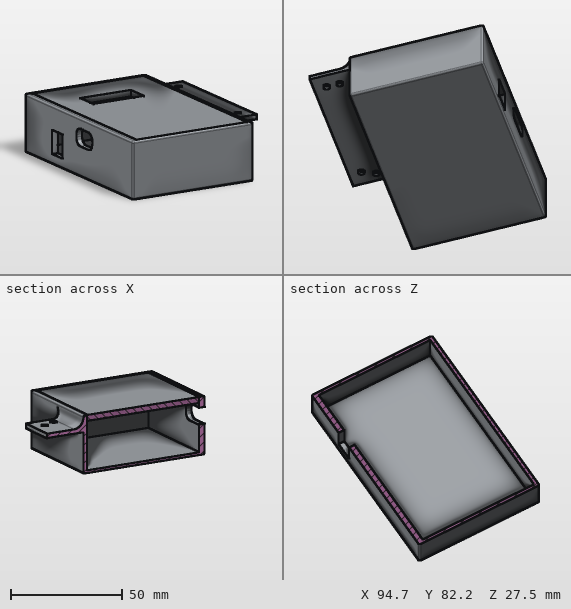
import cadquery as cq
import math

LENGTH = 94.7
DEPTH = 63.2
HEIGHT = 27.5
EDGE_ROUND = 0.9

SIDE_WALL = 1.9
FRONT_WALL = 3.0
BACK_WALL = 2.1
FLOOR = 1.5

LID_THICKNESS = 3.0
LID_WINDOW_WIDTH = 11.55
LID_WINDOW_DEPTH = 26.5
LID_WINDOW_LEFT = 19.5
LID_WINDOW_FRONT = 17.4

PORT_WIDTH = 9.1
PORT_HEIGHT = 11.3
PORT_LEFT = 24.0
PORT_BOTTOM = 4.8

SLOT_WIDTH = 14.0
SLOT_HEIGHT = 8.1
SLOT_LEFT = 45.2
SLOT_BOTTOM = 14.3
SLOT_CORNER_DIAMETER = 7.0

OVERALL_DEPTH = 82.2
FLANGE_LEFT = EDGE_ROUND
FLANGE_RIGHT = 66.2
FLANGE_THICKNESS = 2.3
FLANGE_FILLET = 4.8
FLANGE_TOP = HEIGHT - EDGE_ROUND - FLANGE_FILLET

HOLE_DIAMETER = 3.0
OUTER_ROW_INSET = 6.0
INNER_ROW_INSET = 12.1
LEFT_HOLE_X = 7.5
OUTER_RIGHT_HOLE_X = 59.5
INNER_RIGHT_HOLE_X = 62.2

CAVITY_LENGTH = LENGTH - 2 * SIDE_WALL
CAVITY_DEPTH = DEPTH - FRONT_WALL - BACK_WALL
LID_BOTTOM = HEIGHT - LID_THICKNESS
FLANGE_BOTTOM = FLANGE_TOP - FLANGE_THICKNESS
ARC_MIDPOINT = FLANGE_FILLET * (1 - math.sqrt(0.5))


def block(left, front, bottom, length, depth, height):
    """Box placed by its left, front, bottom corner."""
    return cq.Workplane("XY").box(length, depth, height, centered=False).translate((left, front, bottom))


def cavity_block(bottom):
    """Block with the cavity outline, from the given level up to the housing top."""
    return block(SIDE_WALL, FRONT_WALL, bottom, CAVITY_LENGTH, CAVITY_DEPTH, HEIGHT - bottom)


def flange_profile():
    """Plate with a concave fillet up to the back wall, swept along X past the corner fillet."""
    root = DEPTH - EDGE_ROUND
    return (
        cq.Workplane("YZ", origin=(FLANGE_LEFT, 0, 0))
        .moveTo(root, FLANGE_BOTTOM)
        .lineTo(OVERALL_DEPTH, FLANGE_BOTTOM)
        .lineTo(OVERALL_DEPTH, FLANGE_TOP)
        .lineTo(DEPTH + FLANGE_FILLET, FLANGE_TOP)
        .threePointArc(
            (DEPTH + ARC_MIDPOINT, FLANGE_TOP + ARC_MIDPOINT),
            (DEPTH, FLANGE_TOP + FLANGE_FILLET),
        )
        .lineTo(root, FLANGE_TOP + FLANGE_FILLET)
        .close()
        .extrude(FLANGE_RIGHT + FLANGE_FILLET - FLANGE_LEFT)
    )


def flange_outline():
    """Plan outline of the flange, with a concave fillet at its right root corner."""
    root = DEPTH - EDGE_ROUND
    return (
        cq.Workplane("XY")
        .moveTo(FLANGE_LEFT, root)
        .lineTo(FLANGE_LEFT, OVERALL_DEPTH)
        .lineTo(FLANGE_RIGHT, OVERALL_DEPTH)
        .lineTo(FLANGE_RIGHT, DEPTH + FLANGE_FILLET)
        .threePointArc(
            (FLANGE_RIGHT + ARC_MIDPOINT, DEPTH + ARC_MIDPOINT),
            (FLANGE_RIGHT + FLANGE_FILLET, DEPTH),
        )
        .lineTo(FLANGE_RIGHT + FLANGE_FILLET, root)
        .close()
        .extrude(HEIGHT)
    )


def flange_holes():
    """Four through holes, in an outer and an inner row."""
    outer_row = OVERALL_DEPTH - OUTER_ROW_INSET
    inner_row = OVERALL_DEPTH - INNER_ROW_INSET
    centres = [
        (LEFT_HOLE_X, outer_row),
        (OUTER_RIGHT_HOLE_X, outer_row),
        (LEFT_HOLE_X, inner_row),
        (INNER_RIGHT_HOLE_X, inner_row),
    ]
    return cq.Workplane("XY").pushPoints(centres).circle(HOLE_DIAMETER / 2).extrude(HEIGHT)


def front_slot():
    """Opening with rounded corners, high on the front wall."""
    slot = block(SLOT_LEFT, 0, SLOT_BOTTOM, SLOT_WIDTH, FRONT_WALL, SLOT_HEIGHT)
    return slot.edges("|Y").fillet(SLOT_CORNER_DIAMETER / 2)


def make_housing():
    shell = block(0, 0, 0, LENGTH, DEPTH, HEIGHT).edges().fillet(EDGE_ROUND)
    flange = flange_profile().intersect(flange_outline()).cut(flange_holes())
    port = block(PORT_LEFT, 0, PORT_BOTTOM, PORT_WIDTH, FRONT_WALL, PORT_HEIGHT)
    return shell.union(flange).cut(cavity_block(FLOOR)).cut(port).cut(front_slot())


def make_lid():
    window = block(
        LID_WINDOW_LEFT, LID_WINDOW_FRONT, LID_BOTTOM,
        LID_WINDOW_WIDTH, LID_WINDOW_DEPTH, LID_THICKNESS,
    )
    return cavity_block(LID_BOTTOM).cut(window)


housing = make_housing()
lid = make_lid()

result = cq.Compound.makeCompound([housing.val(), lid.val()])